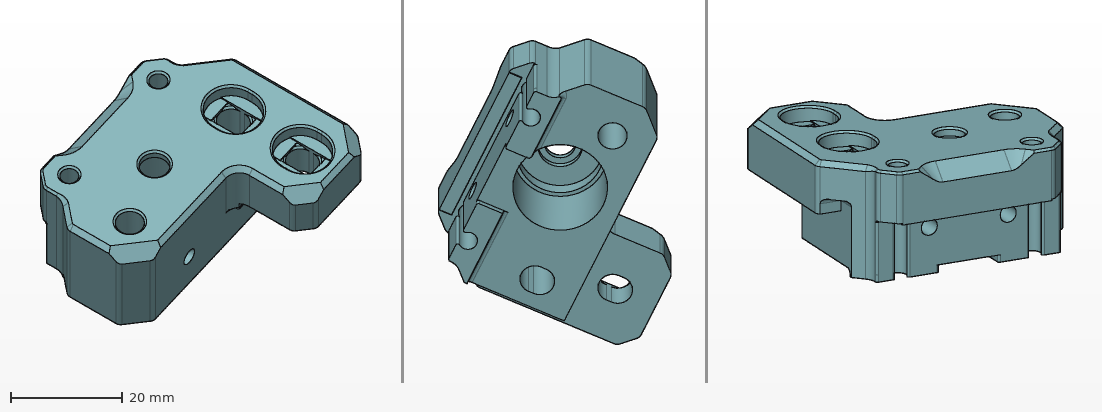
import cadquery as cq
import math

OVERSHOOT = 0.5

TOP_Z = 21.4
PLATE_BOTTOM_Z = 11.4
EAR_BOTTOM_Z = 11.7
BODY_BOTTOM_Z = 1.45

LENGTH_X = 43.4
WIDTH_Y = 49.25
BODY_RIGHT_X = 27.65
BODY_BACK_Y = 44.55
ARM_FRONT_Y = 29.4
MID_Y = 23.25
EAR_FRONT_Y = 4.7
EAR_BACK_Y = 2 * MID_Y - EAR_FRONT_Y
EAR_BEVEL = 3.0
FRONT_LEFT_X = 11.75
BACK_LEFT_X = 12.55
BODY_BEVEL = 4.5
ARM_BEVEL = 3.1
CORNER_RADIUS = 1.5
INNER_RADIUS = 3.0

EAR_CHAMFER = 0.45
EDGE_CHAMFER = 1.0
CORNER_CHAMFER = 2.5
MITER_EXTENSION = 1.95
SCOOP_DEPTH = 3.05
SCOOP_HALF_LENGTH = 6.9
SCOOP_TOP_RADIUS = 5.0

BLOCK_LEFT_X = 3.4
BLOCK_CORNER_RADIUS = 0.45
FOOT_RIGHT_X = 8.45
FOOT_GAP = 11.9
FOOT_FILLET = 1.0
FOOT_CORNER_RADIUS = 0.45
FOOT_FRONT_Y = 3.9
LIP_RADIUS = 0.4
PAD_DEPTH = 2.5
PAD_HALF_LENGTH = 15.0
RELIEF_RIGHT_X = 12.05
RELIEF_TOP_Z = 14.4
RELIEF_FILLET = 1.0
RIB_WIDTH = 1.2
RIB_BOTTOM_Z = 10.4

MOUTH_CHAMFER = 0.4
EAR_HOLE_DIAMETER = 3.4
EAR_HOLE_X = 5.0
EAR_HOLE_HALF_SPACING = 13.5
FRONT_HOLE_DIAMETER = 5.2
FRONT_HOLE_AT = (20.15, 7.55)
SHAFT_HOLE_DIAMETER = 5.6
SHAFT_AT = (15.9, 20.8)
SHAFT_HOLE_BOTTOM_Z = 19.8
SHAFT_RELIEF_DIAMETER = 8.0
SHAFT_RELIEF_BOTTOM_Z = 18.6
SHAFT_BORE_DIAMETER = 15.5
SHAFT_BORE_BOTTOM_Z = 15.6
SHAFT_ENTRY_DIAMETER = 17.0
SIDE_HOLE_DIAMETER = 3.2
SIDE_HOLE_HALF_SPACING = 7.95
SIDE_HOLE_Z = 8.95
SLOT_CENTERS_X = (19.9, 35.3)
SLOT_Y = 39.25
SLOT_TRAVEL = 1.0
SLOT_WIDTH = 5.3
COUNTERBORE_WIDTH = 10.05
COUNTERBORE_DEPTH = 2.7
STEP_HEIGHT = 0.25
SLOT_BEVEL = 0.4

front_run = EAR_FRONT_Y
back_run = WIDTH_Y - EAR_BACK_Y
CORNERS = {
    "ear_front_left": (0, EAR_FRONT_Y + EAR_BEVEL),
    "ear_front": (EAR_BEVEL, EAR_FRONT_Y),
    "front_notch": (FRONT_LEFT_X - front_run, EAR_FRONT_Y),
    "front_left": (FRONT_LEFT_X, 0),
    "front_right": (BODY_RIGHT_X - BODY_BEVEL, 0),
    "body_right": (BODY_RIGHT_X, BODY_BEVEL),
    "inner_corner": (BODY_RIGHT_X, ARM_FRONT_Y),
    "arm_front": (LENGTH_X - ARM_BEVEL, ARM_FRONT_Y),
    "arm_right_front": (LENGTH_X, ARM_FRONT_Y + ARM_BEVEL),
    "arm_right_back": (LENGTH_X, WIDTH_Y - ARM_BEVEL),
    "arm_back": (LENGTH_X - ARM_BEVEL, WIDTH_Y),
    "back_left": (BACK_LEFT_X, WIDTH_Y),
    "back_notch": (BACK_LEFT_X - back_run, EAR_BACK_Y),
    "ear_back": (EAR_BEVEL, EAR_BACK_Y),
    "ear_back_left": (0, EAR_BACK_Y - EAR_BEVEL),
}
CONCAVE = ("front_notch", "inner_corner", "back_notch")


def box(x0, x1, y0, y1, z0, z1):
    """Axis-aligned box between two opposite corners."""
    return cq.Workplane("XY").box(x1 - x0, y1 - y0, z1 - z0, centered=False).translate((x0, y0, z0))


def edge_near(x, y, z):
    """Selector for the edge closest to a point."""
    return cq.selectors.NearestToPointSelector((x, y, z))


def disc(diameter, center, z0, z1):
    """Upright cylinder."""
    return cq.Workplane("XY", origin=(*center, z0)).circle(diameter / 2).extrude(z1 - z0)


def outline_prism(z0, z1):
    """Full plan outline with every corner rounded."""
    prism = cq.Workplane("XY", origin=(0, 0, z0)).polyline(list(CORNERS.values())).close().extrude(z1 - z0)
    mid_z = (z0 + z1) / 2
    for name, (x, y) in CORNERS.items():
        radius = INNER_RADIUS if name in CONCAVE else CORNER_RADIUS
        prism = prism.edges(edge_near(x, y, mid_z)).fillet(radius)
    return prism


def bevel_section(point, outward, size):
    """Triangular section of a 45 degree top bevel whose edge passes through a plan point."""
    reach = size + OVERSHOOT
    corners = ((-reach, TOP_Z + OVERSHOOT), (OVERSHOOT, TOP_Z - reach), (OVERSHOOT, TOP_Z + OVERSHOOT))
    points = [cq.Vector(point[0] + outward[0] * d, point[1] + outward[1] * d, z) for d, z in corners]
    return cq.Wire.makePolygon(points, close=True)


def corner_bevel(start, end):
    """Large bevel cutter along one cut corner of the outline, run past both of its ends."""
    (x0, y0), (x1, y1) = CORNERS[start], CORNERS[end]
    length = math.hypot(x1 - x0, y1 - y0)
    along_x = (x1 - x0) / length
    along_y = (y1 - y0) / length
    shift_x = MITER_EXTENSION * along_x
    shift_y = MITER_EXTENSION * along_y
    sections = [
        bevel_section((x, y), (along_y, -along_x), CORNER_CHAMFER)
        for x, y in ((x0 - shift_x, y0 - shift_y), (x1 + shift_x, y1 + shift_y))
    ]
    return cq.Workplane(obj=cq.Solid.makeLoft(sections, True))


def notch_center(name, side):
    """Center of the arc that rounds an ear notch."""
    x, y = CORNERS[name]
    return x - INNER_RADIUS * math.tan(math.pi / 8), y + side * INNER_RADIUS


def notch_bevel(name, side):
    """Bevel around an ear notch arc, growing from the ear chamfer to the edge chamfer."""
    center = notch_center(name, side)
    sections = []
    for step in (0, 0.5, 1):
        angle = step * math.pi / 4
        outward = (-math.sin(angle), side * math.cos(angle))
        point = (center[0] - INNER_RADIUS * outward[0], center[1] - INNER_RADIUS * outward[1])
        size = EAR_CHAMFER + step * (EDGE_CHAMFER - EAR_CHAMFER)
        sections.append(bevel_section(point, outward, size))
    return cq.Workplane(obj=cq.Solid.makeLoft(sections, False))


def ear_zone():
    """Left part of the plate, bounded by 45 degree lines through the ends of the notch arcs."""
    front_x, front_y = notch_center("front_notch", -1)
    back_x, back_y = notch_center("back_notch", 1)
    apex_y = (front_y + back_y + back_x - front_x) / 2
    apex = (front_x + apex_y - front_y, apex_y)
    plan = [(0, front_y), (front_x, front_y), apex, (back_x, back_y), (0, back_y)]
    plane = cq.Workplane("XY", origin=(0, 0, PLATE_BOTTOM_Z))
    return plane.polyline(plan).close().extrude(TOP_Z - PLATE_BOTTOM_Z)


def cone_cut(center, top_radius, depth):
    """45 degree cone cutter that narrows downward from the top face."""
    base = cq.Vector(*center, TOP_Z - depth)
    cone = cq.Solid.makeCone(top_radius - depth, top_radius + OVERSHOOT, depth + OVERSHOOT, base)
    return cq.Workplane(obj=cone)


def scoop():
    """Deep bevel in the left edge with conical ends that turn out at 45 degrees."""
    radius = SCOOP_TOP_RADIUS - SCOOP_DEPTH
    run = 4 * SCOOP_DEPTH
    half = SCOOP_HALF_LENGTH
    diagonal = radius * math.sqrt(0.5)
    turn_end = (diagonal - radius, half + diagonal)
    turn_middle = (radius * math.cos(math.pi / 8) - radius, half + radius * math.sin(math.pi / 8))
    far_end = (turn_end[0] - run, turn_end[1] + run)
    plan = (
        cq.Workplane("XY", origin=(0, MID_Y, TOP_Z - SCOOP_DEPTH))
        .moveTo(0, -half)
        .lineTo(0, half)
        .threePointArc(turn_middle, turn_end)
        .lineTo(*far_end)
        .lineTo(far_end[0], -far_end[1])
        .lineTo(turn_end[0], -turn_end[1])
        .threePointArc((turn_middle[0], -turn_middle[1]), (0, -half))
        .close()
    )
    return plan.extrude(SCOOP_DEPTH + OVERSHOOT, taper=-45)


def top_plate():
    """L-shaped plate with its bevelled top edge, lighter around the ears and heavier at the cut corners."""
    blank = outline_prism(PLATE_BOTTOM_Z, TOP_Z)
    ears = blank.faces(">Z").chamfer(EAR_CHAMFER).intersect(ear_zone())
    plate = blank.faces(">Z").chamfer(EDGE_CHAMFER).cut(ear_zone()).union(ears)
    plate = plate.cut(notch_bevel("front_notch", -1)).cut(notch_bevel("back_notch", 1))
    cut_corners = (
        ("front_right", "body_right"),
        ("arm_front", "arm_right_front"),
        ("arm_right_back", "arm_back"),
    )
    for start, end in cut_corners:
        plate = plate.cut(corner_bevel(start, end))
    return plate.cut(scoop())


def block_prism(z0, z1, right_x):
    """Slice of the lower block, inside the plan outline, with its two left corners rounded."""
    prism = outline_prism(z0, z1).intersect(box(BLOCK_LEFT_X, right_x, 0, BODY_BACK_Y, z0, z1))
    for y in (EAR_FRONT_Y, EAR_BACK_Y):
        prism = prism.edges(edge_near(BLOCK_LEFT_X, y, (z0 + z1) / 2)).fillet(BLOCK_CORNER_RADIUS)
    return prism


def feet():
    """Two feet under the left side, blended into the block underside along their right and front walls."""
    gap_ends = (MID_Y - FOOT_GAP / 2, MID_Y + FOOT_GAP / 2)
    blend_x = FOOT_RIGHT_X + 2 * FOOT_FILLET
    slab_z = (BODY_BOTTOM_Z, BODY_BOTTOM_Z + OVERSHOOT)
    pads = box(BLOCK_LEFT_X, FOOT_RIGHT_X, FOOT_FRONT_Y, BODY_BACK_Y, 0, BODY_BOTTOM_Z)
    pads = pads.edges(edge_near(FOOT_RIGHT_X, FOOT_FRONT_Y, BODY_BOTTOM_Z / 2)).fillet(FOOT_CORNER_RADIUS)
    pads = pads.union(box(BLOCK_LEFT_X, blend_x, 0, BODY_BACK_Y, *slab_z))
    pads = pads.edges(edge_near(FOOT_RIGHT_X, MID_Y, BODY_BOTTOM_Z)).fillet(FOOT_FILLET)
    pads = pads.intersect(block_prism(0, slab_z[1], blend_x))
    pads = pads.cut(box(0, blend_x, *gap_ends, 0, BODY_BOTTOM_Z))
    for y in gap_ends:
        pads = pads.edges(edge_near(BLOCK_LEFT_X, y, BODY_BOTTOM_Z / 2)).fillet(LIP_RADIUS)
    return pads


def lower_block():
    """Block below the plate with its feet and the rib under the arm."""
    block = block_prism(BODY_BOTTOM_Z, PLATE_BOTTOM_Z + OVERSHOOT, BODY_RIGHT_X).union(feet())
    rib_right = BODY_RIGHT_X + RIB_WIDTH
    rib_front = ARM_FRONT_Y - INNER_RADIUS
    rib_z = (RIB_BOTTOM_Z, PLATE_BOTTOM_Z)
    rib = box(BODY_RIGHT_X - OVERSHOOT, rib_right, rib_front, BODY_BACK_Y, *rib_z)
    rib = rib.intersect(outline_prism(*rib_z))
    return block.union(rib)


def ear_undercut():
    """Thin cut under the plate left of the block that leaves a pad standing proud."""
    cut = box(-OVERSHOOT, BLOCK_LEFT_X, 0, WIDTH_Y, PLATE_BOTTOM_Z, EAR_BOTTOM_Z)
    pad_ends = (MID_Y - PAD_HALF_LENGTH, MID_Y + PAD_HALF_LENGTH)
    return cut.cut(box(-OVERSHOOT, PAD_DEPTH, *pad_ends, PLATE_BOTTOM_Z, EAR_BOTTOM_Z))


def back_relief():
    """Pocket under the back left corner, rounded where its ceiling meets its two walls."""
    relief_z = (PLATE_BOTTOM_Z - OVERSHOOT, RELIEF_TOP_Z)
    relief = box(0, RELIEF_RIGHT_X, BODY_BACK_Y, WIDTH_Y + OVERSHOOT, *relief_z)
    right_edge = edge_near(RELIEF_RIGHT_X, (BODY_BACK_Y + WIDTH_Y) / 2, RELIEF_TOP_Z)
    front_edge = edge_near(RELIEF_RIGHT_X / 2, BODY_BACK_Y, RELIEF_TOP_Z)
    return relief.edges(right_edge + front_edge).fillet(RELIEF_FILLET)


def round_hole(diameter, center):
    """Through hole with a chamfered mouth in the top face."""
    mouth = cone_cut(center, diameter / 2 + MOUTH_CHAMFER, MOUTH_CHAMFER)
    return disc(diameter, center, -OVERSHOOT, TOP_Z).union(mouth)


def shaft_bore():
    """Chamfered hole in the top face that opens in steps into a wide bore from below."""
    return (
        disc(SHAFT_ENTRY_DIAMETER, SHAFT_AT, -OVERSHOOT, SHAFT_BORE_BOTTOM_Z)
        .union(disc(SHAFT_BORE_DIAMETER, SHAFT_AT, SHAFT_BORE_BOTTOM_Z, SHAFT_RELIEF_BOTTOM_Z))
        .union(disc(SHAFT_RELIEF_DIAMETER, SHAFT_AT, SHAFT_RELIEF_BOTTOM_Z, SHAFT_HOLE_BOTTOM_Z))
        .union(round_hole(SHAFT_HOLE_DIAMETER, SHAFT_AT))
    )


def slot(center_x, width, z0, z1, taper=0):
    """Round-ended upright slot, longer along X by the slot travel; a negative taper widens it upward."""
    plane = cq.Workplane("XY", origin=(center_x, SLOT_Y, z0))
    return plane.slot2D(width + SLOT_TRAVEL, width).extrude(z1 - z0, taper=taper)


def counterbored_slot(center_x):
    """Through slot with a wide counterbore, two bridging steps below it and a chamfered mouth."""
    floor_z = TOP_Z - COUNTERBORE_DEPTH
    channel_z = floor_z - STEP_HEIGHT
    square_z = channel_z - STEP_HEIGHT
    bevel_z = square_z - SLOT_BEVEL
    half_length = (SLOT_WIDTH + SLOT_TRAVEL) / 2
    slot_x = (center_x - half_length, center_x + half_length)
    slot_y = (SLOT_Y - SLOT_WIDTH / 2, SLOT_Y + SLOT_WIDTH / 2)
    channel_x = (center_x - COUNTERBORE_WIDTH, center_x + COUNTERBORE_WIDTH)

    mouth = slot(center_x, COUNTERBORE_WIDTH, TOP_Z - MOUTH_CHAMFER, TOP_Z, taper=-45)
    counterbore = slot(center_x, COUNTERBORE_WIDTH, floor_z, TOP_Z)
    channel = slot(center_x, COUNTERBORE_WIDTH, channel_z, floor_z)
    channel = channel.intersect(box(*channel_x, *slot_y, channel_z, floor_z))
    square = box(*slot_x, *slot_y, square_z, channel_z)
    bevel = slot(center_x, SLOT_WIDTH, bevel_z, square_z, taper=-45)
    bevel = bevel.intersect(box(*slot_x, *slot_y, bevel_z, square_z))
    through = slot(center_x, SLOT_WIDTH, -OVERSHOOT, floor_z)
    return through.union(bevel).union(square).union(channel).union(counterbore).union(mouth)


def side_holes():
    """Two holes through the block along X."""
    points = [(MID_Y - SIDE_HOLE_HALF_SPACING, SIDE_HOLE_Z), (MID_Y + SIDE_HOLE_HALF_SPACING, SIDE_HOLE_Z)]
    return cq.Workplane("YZ").pushPoints(points).circle(SIDE_HOLE_DIAMETER / 2).extrude(LENGTH_X)


def round_ear_hole_lips(part):
    """Round the two sharp lips where each ear hole breaks through the left face of the block."""
    radius = EAR_HOLE_DIAMETER / 2
    half_gap = math.sqrt(radius ** 2 - (EAR_HOLE_X - BLOCK_LEFT_X) ** 2)
    for side in (-1, 1):
        for lip in (-half_gap, half_gap):
            y = MID_Y + side * EAR_HOLE_HALF_SPACING + lip
            part = part.edges(edge_near(BLOCK_LEFT_X, y, PLATE_BOTTOM_Z / 2)).fillet(LIP_RADIUS)
    return part


result = top_plate().union(lower_block()).cut(ear_undercut()).cut(back_relief())
for ear_side in (-1, 1):
    ear_center = (EAR_HOLE_X, MID_Y + ear_side * EAR_HOLE_HALF_SPACING)
    result = result.cut(round_hole(EAR_HOLE_DIAMETER, ear_center))
result = round_ear_hole_lips(result)
result = result.cut(round_hole(FRONT_HOLE_DIAMETER, FRONT_HOLE_AT))
result = result.cut(shaft_bore())
for slot_x in SLOT_CENTERS_X:
    result = result.cut(counterbored_slot(slot_x))
result = result.cut(side_holes())